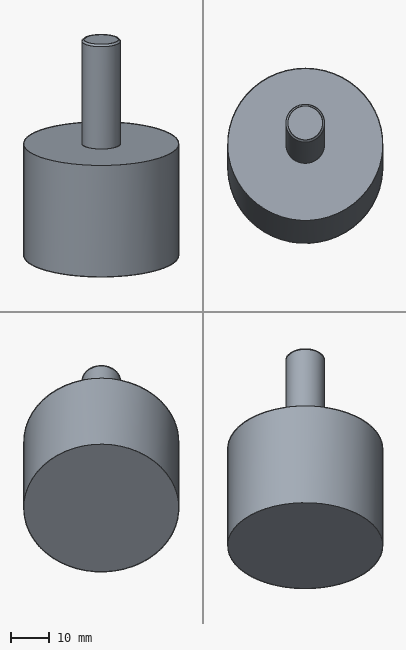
import cadquery as cq

total_height = 58.0
body_diameter = 40.0
body_height = 30.0
stud_diameter = 10.0
stud_chamfer = 0.5

stud_length = total_height - body_height

body = cq.Workplane("XY").circle(body_diameter / 2).extrude(body_height)

stud = (
    cq.Workplane("XY")
    .workplane(offset=body_height)
    .circle(stud_diameter / 2)
    .extrude(stud_length)
    .faces(">Z")
    .chamfer(stud_chamfer)
)

result = body.union(stud)